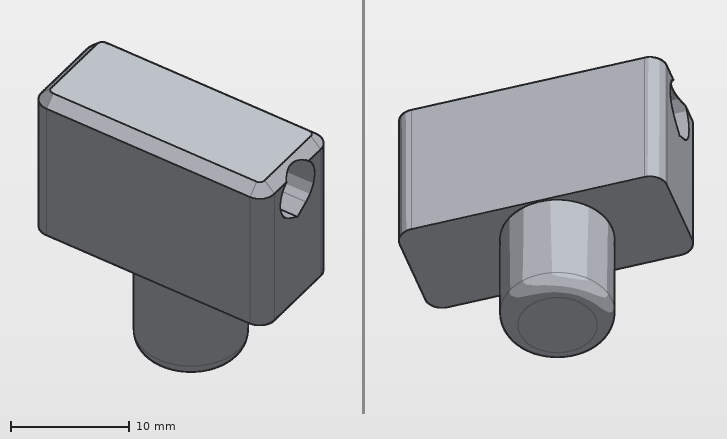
import cadquery as cq
import math

HEAD_LENGTH = 23.7
HEAD_WIDTH = 10.0
HEAD_HEIGHT = 15.0
CORNER_RADIUS = 1.5
TOP_CHAMFER = 1.0

PIN_DIAMETER = 9.7
PIN_LENGTH = 10.0
PIN_OFFSET_X = 1.0
PIN_TIP_RADIUS = 1.5

BORE_RADIUS = 2.6
BORE_HEIGHT = 12.0
BORE_DEPTH = HEAD_LENGTH / 2 - PIN_OFFSET_X
TEARDROP_SLOPE = math.radians(30)


def make_head():
    """Block with rounded upright corners and a chamfered top rim."""
    block = cq.Workplane("XY").box(HEAD_LENGTH, HEAD_WIDTH, HEAD_HEIGHT, centered=(True, True, False))
    return block.edges("|Z").fillet(CORNER_RADIUS).faces(">Z").chamfer(TOP_CHAMFER)


def make_pin():
    """Round peg with a rounded lower rim."""
    peg = cq.Workplane("XY").center(PIN_OFFSET_X, 0).circle(PIN_DIAMETER / 2).extrude(-PIN_LENGTH)
    return peg.faces("<Z").edges().fillet(PIN_TIP_RADIUS)


def make_bore():
    """Teardrop along X: an arc closed by two tangent flats meeting at the bottom."""
    tangent_y = BORE_RADIUS * math.sin(TEARDROP_SLOPE)
    tangent_z = -BORE_RADIUS * math.cos(TEARDROP_SLOPE)
    apex_z = -BORE_RADIUS / math.cos(TEARDROP_SLOPE)
    return (
        cq.Workplane("YZ", origin=(HEAD_LENGTH / 2, 0, BORE_HEIGHT))
        .moveTo(0, apex_z)
        .lineTo(tangent_y, tangent_z)
        .threePointArc((0, BORE_RADIUS), (-tangent_y, tangent_z))
        .close()
        .extrude(-BORE_DEPTH)
    )


result = make_head().union(make_pin()).cut(make_bore())